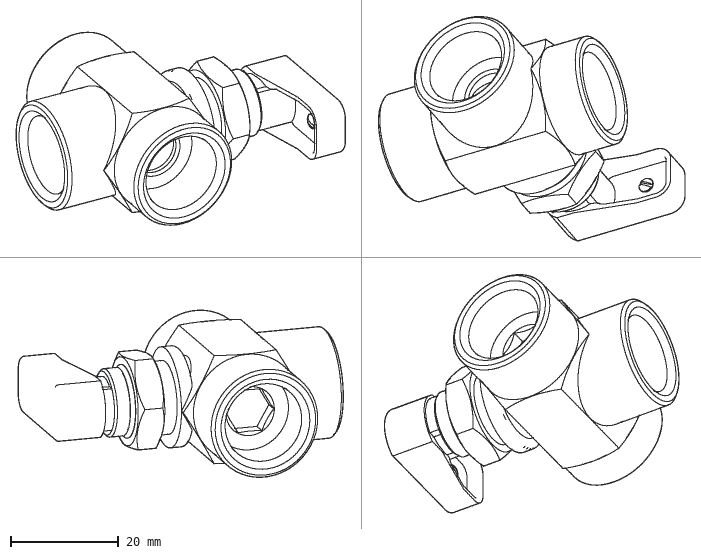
import cadquery as cq
import math


HEX_FLATS = 21.0
HEX_HALF_LENGTH = 11.55
HEX_CORNER_RADIUS = HEX_FLATS / math.sqrt(3)
PORT_RADIUS = 10.45
PORT_EDGE = 0.6
LONG_PORT_END = 22.5
SHORT_PORT_END = 19.5
HEX_END_RADIUS = 10.3
CORNER_SLOPE = math.tan(math.radians(30))

BORE_RADIUS = 7.5
MOUTH_RADIUS = 8.7
SEAT_DISTANCE = 9.0
PASSAGE_RADIUS = 4.4
PASSAGE_EDGE = 0.55

CORE_FACE = 13.5
CORE_END = BORE_RADIUS
SOCKET_FLATS = 8.05
SOCKET_CORNER_RADIUS = SOCKET_FLATS / math.sqrt(3)
SOCKET_LEAD_RADIUS = 4.75
SOCKET_LEAD_DEPTH = 0.55
SOCKET_DEPTH = 3.0

BOSS_RADIUS = 7.5
BOSS_BOTTOM = 7.6
COLLAR_RADIUS = 9.45
COLLAR_BOTTOM = 9.45
COLLAR_TOP = HEX_CORNER_RADIUS
COLLAR_ROUND = 0.6
NECK_RADIUS = 6.9
NECK_TOP = 21.1
NECK_EDGE = 0.8

NUT_FLATS = 17.0
NUT_END_RADIUS = 8.3
NUT_BOTTOM = 15.0
NUT_TOP = 20.25
NUT_TURN = -6

GLAND_RADIUS = 6.4
GLAND_TOP = 24.1
GLAND_EDGE = 0.45

STEM_RADIUS = 5.0
EAR_RADIUS = 6.0
EAR_HALF_WIDTH = 4.0

HANDLE_END_RADIUS = 6.55
HANDLE_RIGHT = 19.0
HANDLE_HALF_WIDTH = 5.5
HANDLE_CORNER = 3.15
HANDLE_TOP = 34.9
HANDLE_TOP_ROUND = 0.7
HUB_BOTTOM = 26.0
TIP_BOTTOM = 28.45
SLOPE_START = 0.0
SLOPE_END = 11.9
HANDLE_WALL = 1.15
RIM_ROUND = 0.55
POCKET_START = 3.8
POCKET_END = HANDLE_RIGHT - HANDLE_WALL
POCKET_HALF_WIDTH = HANDLE_HALF_WIDTH - HANDLE_WALL
POCKET_FLOOR = 31.3

SCREW_X = 12.5
SCREW_RADIUS = 1.4
SCREW_RIM = 0.3
SCREW_HEIGHT = 0.85
SLOT_WIDTH = 0.65
SLOT_DEPTH = 0.7
SLOT_TURN = 27


def cylinder_y(radius, bottom, top):
    """Cylinder on the stem axis between two Y positions."""
    return cq.Workplane("XZ", origin=(0, bottom, 0)).circle(radius).extrude(bottom - top)


def cylinder_x(radius, start, end):
    """Cylinder on the X axis between two X positions."""
    return cq.Workplane("YZ", origin=(start, 0, 0)).circle(radius).extrude(end - start)


def chamfered_hex(flats, length, end_radius):
    """Hexagonal prism centred along Z, first corner on +X, with 30-degree turned corners."""
    corner_radius = flats / math.sqrt(3)
    half = length / 2
    drop = (corner_radius - end_radius) * CORNER_SLOPE
    prism = cq.Workplane("XY").polygon(6, 2 * corner_radius).extrude(half, both=True)
    turned = (
        cq.Workplane("XZ")
        .polyline([
            (0, -half), (end_radius, -half), (corner_radius, drop - half),
            (corner_radius, half - drop), (end_radius, half), (0, half),
        ])
        .close()
        .revolve(360, (0, 0, 0), (0, 1, 0))
    )
    return prism.intersect(turned)


def port_tube(end):
    """Round port along +Z from the origin, with a chamfered outer edge."""
    return cq.Workplane("XY").circle(PORT_RADIUS).extrude(end).faces(">Z").chamfer(PORT_EDGE)


def port_bore(end, floor):
    """Cutter along +Z: blind port bore with a countersunk mouth."""
    mouth_depth = MOUTH_RADIUS - BORE_RADIUS
    profile = [
        (0, floor), (BORE_RADIUS, floor), (BORE_RADIUS, end - mouth_depth),
        (MOUTH_RADIUS, end), (0, end),
    ]
    return cq.Workplane("XZ").polyline(profile).close().revolve(360, (0, 0, 0), (0, 1, 0))


def seat_passage():
    """Cutter along +Z: chamfered passage from the seat to the core."""
    passage = cq.Workplane("XY").circle(PASSAGE_RADIUS).extrude(SEAT_DISTANCE)
    lead = (
        cq.Workplane("XY", origin=(0, 0, SEAT_DISTANCE - PASSAGE_EDGE))
        .circle(PASSAGE_RADIUS)
        .workplane(offset=PASSAGE_EDGE)
        .circle(PASSAGE_RADIUS + PASSAGE_EDGE)
        .loft()
    )
    return passage.union(lead)


def toward_left(shape):
    """Turn a shape built along +Z so that it points along -X."""
    return shape.rotate((0, 0, 0), (0, 1, 0), -90)


def toward_right(shape):
    """Turn a shape built along +Z so that it points along +X."""
    return shape.rotate((0, 0, 0), (0, 1, 0), 90)


def toward_front(shape):
    """Turn a shape built along +Z so that it points along -Y."""
    return shape.rotate((0, 0, 0), (1, 0, 0), 90)


def make_valve_body():
    hex_block = chamfered_hex(HEX_FLATS, 2 * HEX_HALF_LENGTH, HEX_END_RADIUS)
    body = toward_right(hex_block.rotate((0, 0, 0), (0, 0, 1), 90))
    body = body.union(toward_left(port_tube(LONG_PORT_END)))
    body = body.union(toward_right(port_tube(SHORT_PORT_END)))
    body = body.union(toward_front(port_tube(SHORT_PORT_END)))
    body = body.union(cylinder_y(BOSS_RADIUS, BOSS_BOTTOM, COLLAR_TOP))
    collar = cylinder_y(COLLAR_RADIUS, COLLAR_BOTTOM, COLLAR_TOP)
    body = body.union(collar.faces("<Y").edges().fillet(COLLAR_ROUND))
    neck = cylinder_y(NECK_RADIUS, COLLAR_TOP, NECK_TOP)
    body = body.union(neck.faces(">Y").chamfer(NECK_EDGE))

    body = body.cut(toward_left(port_bore(LONG_PORT_END, -CORE_END)))
    for turn in (toward_right, toward_front):
        body = body.cut(turn(port_bore(SHORT_PORT_END, SEAT_DISTANCE)))
        body = body.cut(turn(seat_passage()))
    return body


def make_core():
    core = cylinder_x(BORE_RADIUS, -CORE_FACE, CORE_END)
    face = cq.Workplane("YZ", origin=(-CORE_FACE, 0, 0))
    socket = face.polygon(6, 2 * SOCKET_CORNER_RADIUS).extrude(SOCKET_DEPTH)
    lead = (
        face.circle(SOCKET_LEAD_RADIUS)
        .workplane(offset=SOCKET_LEAD_DEPTH)
        .circle(SOCKET_FLATS / 2)
        .loft()
    )
    return core.cut(socket).cut(lead)


def make_nut():
    nut = chamfered_hex(NUT_FLATS, NUT_TOP - NUT_BOTTOM, NUT_END_RADIUS)
    nut = toward_front(nut.rotate((0, 0, 0), (0, 0, 1), NUT_TURN))
    nut = nut.translate((0, (NUT_BOTTOM + NUT_TOP) / 2, 0))
    neck = cylinder_y(NECK_RADIUS, NUT_BOTTOM, NUT_TOP)
    return nut.cut(neck)


def make_gland():
    return cylinder_y(GLAND_RADIUS, NECK_TOP, GLAND_TOP).faces(">Y").chamfer(GLAND_EDGE)


def make_stem():
    ears = cylinder_y(EAR_RADIUS, GLAND_TOP, POCKET_FLOOR)
    ear_band = cq.Workplane("XY").box(
        2 * EAR_RADIUS, 2 * HANDLE_TOP, 2 * EAR_HALF_WIDTH
    )
    return cylinder_y(STEM_RADIUS, GLAND_TOP, POCKET_FLOOR).union(ears.intersect(ear_band))


def lever_block(left, right, half_width, corner, top):
    """Block with rounded corners, from the hub bottom up to a given Y."""
    return (
        cq.Workplane("XZ", origin=((left + right) / 2, HUB_BOTTOM, 0))
        .rect(right - left, 2 * half_width)
        .extrude(HUB_BOTTOM - top)
        .edges("|Y")
        .fillet(corner)
    )


def make_handle(stem):
    lever = lever_block(
        -HANDLE_RIGHT, HANDLE_RIGHT, HANDLE_HALF_WIDTH, HANDLE_CORNER, HANDLE_TOP
    )
    round_end = cylinder_y(HANDLE_END_RADIUS, HUB_BOTTOM, HANDLE_TOP)
    right_half = cq.Workplane("XY").box(
        HANDLE_RIGHT, 2 * HANDLE_TOP, 2 * HANDLE_HALF_WIDTH, centered=(False, True, True)
    )
    lever = lever.intersect(round_end.union(right_half))
    lever = lever.faces(">Y").edges().fillet(HANDLE_TOP_ROUND)
    underside = (
        cq.Workplane("XY")
        .polyline([
            (SLOPE_START, HUB_BOTTOM), (SLOPE_END, TIP_BOTTOM),
            (HANDLE_RIGHT, TIP_BOTTOM), (HANDLE_RIGHT, HUB_BOTTOM),
        ])
        .close()
        .extrude(HANDLE_HALF_WIDTH, both=True)
    )
    pocket = lever_block(
        POCKET_START, POCKET_END, POCKET_HALF_WIDTH, HANDLE_CORNER - HANDLE_WALL, POCKET_FLOOR
    )
    lever = lever.cut(underside).cut(pocket)
    margin = RIM_ROUND / 4
    pocket_rim = cq.selectors.BoxSelector(
        (POCKET_START - margin, HUB_BOTTOM, -POCKET_HALF_WIDTH - margin),
        (POCKET_END + margin, TIP_BOTTOM + margin, POCKET_HALF_WIDTH + margin),
        boundingbox=True,
    )
    lever = lever.edges(pocket_rim).fillet(RIM_ROUND)
    return lever.cut(stem)


def make_screw():
    rim = POCKET_FLOOR - SCREW_RIM
    tip = POCKET_FLOOR - SCREW_HEIGHT
    dome_rise = SCREW_HEIGHT - SCREW_RIM
    dome_radius = (SCREW_RADIUS**2 + dome_rise**2) / (2 * dome_rise)
    half_angle = math.asin(SCREW_RADIUS / dome_radius) / 2
    dome_middle = (
        dome_radius * math.sin(half_angle),
        tip + dome_radius * (1 - math.cos(half_angle)),
    )
    head = (
        cq.Workplane("XY")
        .moveTo(0, POCKET_FLOOR)
        .lineTo(SCREW_RADIUS, POCKET_FLOOR)
        .lineTo(SCREW_RADIUS, rim)
        .threePointArc(dome_middle, (0, tip))
        .close()
        .revolve(360, (0, 0, 0), (0, 1, 0))
    )
    slot = cq.Workplane("XY").box(2 * SCREW_RADIUS, 2 * SLOT_DEPTH, SLOT_WIDTH)
    slot = slot.rotate((0, 0, 0), (0, 1, 0), SLOT_TURN).translate((0, tip, 0))
    return head.cut(slot).translate((SCREW_X, 0, 0))


valve_body = make_valve_body()
core = make_core()
nut = make_nut()
gland = make_gland()
stem = make_stem()
handle = make_handle(stem)
screw = make_screw()

result = cq.Compound.makeCompound([
    valve_body.solids().val(),
    core.solids().val(),
    nut.solids().val(),
    gland.solids().val(),
    stem.solids().val(),
    handle.solids().val(),
    screw.solids().val(),
])